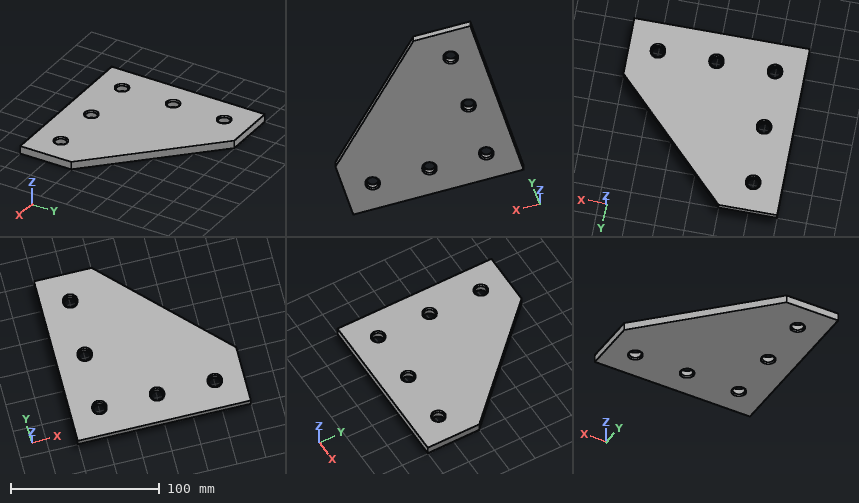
import cadquery as cq

side = 120.0
thickness = 6.0
arm_width = side / 3

hole_diameter = 8.2
hole_chamfer = 1.0
hole_pitch = arm_width
edge_distance = arm_width / 2
holes_per_arm = 3

plate = (
    cq.Workplane("XY")
    .polyline([(0, 0), (side, 0), (side, arm_width), (arm_width, side), (0, side)])
    .close()
    .extrude(thickness)
)

along_x = [(edge_distance + i * hole_pitch, edge_distance) for i in range(holes_per_arm)]
along_y = [(edge_distance, edge_distance + i * hole_pitch) for i in range(1, holes_per_arm)]

drilled = (
    plate.faces(">Z")
    .workplane(origin=(0, 0, thickness))
    .pushPoints(along_x + along_y)
    .hole(hole_diameter)
)

result = drilled.edges("%CIRCLE").chamfer(hole_chamfer)